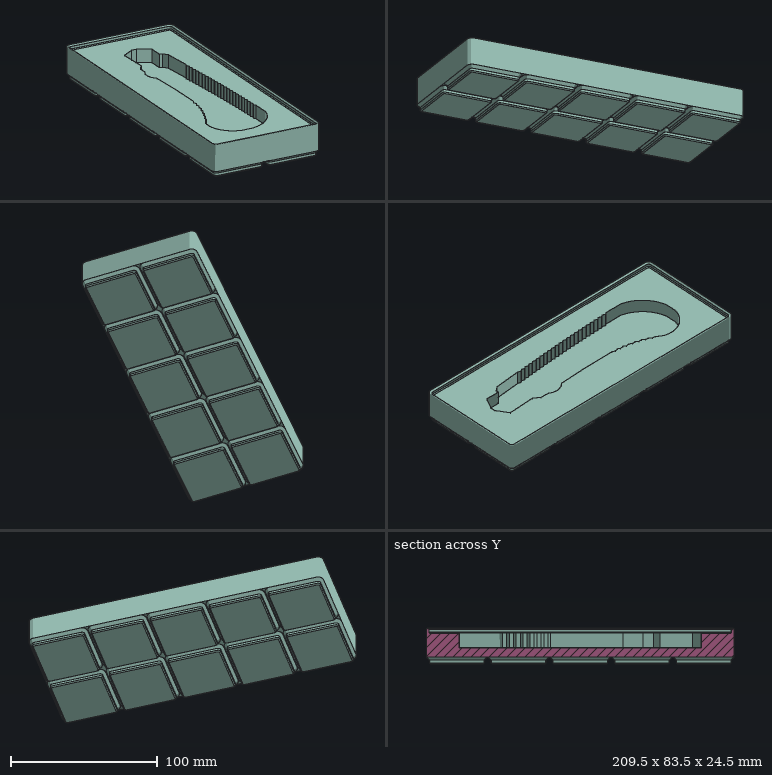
import cadquery as cq
import math

length = 209.5
total_height = 24.5
columns = 5
rows = 2
side_clearance = 0.5
pitch = (length + side_clearance) / columns
width = rows * pitch - side_clearance
corner_radius = 4.0
floor_height = 21.0

foot_low_flare = 0.8
foot_band = 1.8
foot_high_flare = 2.0
foot_bottom_radius = corner_radius - foot_low_flare - foot_high_flare
foot_height = foot_low_flare + foot_band + foot_high_flare
foot_bottom_side = pitch - side_clearance - 2 * (foot_low_flare + foot_high_flare)
flare_angle = -45

lip_low_step = 0.7
lip_high_step = 1.9
lip_base_thickness = lip_low_step + lip_high_step
lip_rim_radius = 0.6

pocket_depth = 9.8
tooth_depth = 1.0
tooth_root_share = 0.6
back_teeth_start = (-42.0, 17.8)
back_teeth_end = (46.7, 23.3)
back_bulge = 0.8
back_teeth = 23
belly_teeth_start = (53.0, -18.9)
belly_teeth_end = (20.1, -10.5)
belly_bulge = 1.9
belly_teeth = 7


def make_block():
    """Solid block from the top of the feet up to the deck."""
    block = cq.Workplane("XY", origin=(0, 0, foot_height))
    block = block.box(length, width, floor_height - foot_height, centered=(True, True, False))
    return block.edges("|Z").fillet(corner_radius)


def make_foot():
    """One foot, standing on Z = 0 and centred on the Z axis."""
    low = (
        cq.Workplane("XY")
        .sketch()
        .rect(foot_bottom_side, foot_bottom_side)
        .vertices()
        .fillet(foot_bottom_radius)
        .finalize()
        .extrude(foot_low_flare, taper=flare_angle)
    )
    band = low.faces(">Z").wires().toPending().workplane().extrude(foot_band)
    return band.faces(">Z").wires().toPending().workplane().extrude(foot_high_flare, taper=flare_angle)


def make_feet():
    """The grid of feet, whose tops line up with the outside of the block."""
    foot = make_foot()
    feet = []
    for column in range(columns):
        for row in range(rows):
            x = (column - (columns - 1) / 2) * pitch
            y = (row - (rows - 1) / 2) * pitch
            feet.append(foot.translate((x, y, 0)))
    return feet


def make_lip():
    """Stacking lip: its cross-section swept once around the outside of the block."""
    half_x = length / 2
    half_y = width / 2
    flat_x = half_x - corner_radius
    flat_y = half_y - corner_radius
    path = (
        cq.Workplane("XY", origin=(0, 0, floor_height))
        .moveTo(0, -half_y)
        .lineTo(flat_x, -half_y)
        .radiusArc((half_x, -flat_y), -corner_radius)
        .lineTo(half_x, flat_y)
        .radiusArc((flat_x, half_y), -corner_radius)
        .lineTo(-flat_x, half_y)
        .radiusArc((-half_x, flat_y), -corner_radius)
        .lineTo(-half_x, -flat_y)
        .radiusArc((-flat_x, -half_y), -corner_radius)
        .close()
    )
    lip_height = total_height - floor_height
    arc_centre_z = lip_height - lip_rim_radius
    slope_offset = lip_rim_radius * math.sqrt(0.5)
    slope_top = (lip_rim_radius + slope_offset, arc_centre_z + slope_offset)
    band_top_z = slope_top[1] - (lip_high_step - slope_top[0])
    profile = (
        cq.Workplane("YZ", origin=(0, -half_y, floor_height))
        .lineTo(0, arc_centre_z)
        .threePointArc((lip_rim_radius, lip_height), slope_top)
        .lineTo(lip_high_step, band_top_z)
        .lineTo(lip_high_step, lip_low_step)
        .lineTo(lip_base_thickness, 0)
        .close()
    )
    return profile.sweep(path)


def toothed_run(outline, start, end, bulge, teeth):
    """Continue the outline from start to end along a shallow arc-like run of saw teeth.

    The tips follow a parabola bulging toward +Y by bulge; each tooth cuts tooth_depth below it.
    """

    def on_run(share):
        x = start[0] + share * (end[0] - start[0])
        y = start[1] + share * (end[1] - start[1])
        return x, y + 4 * bulge * share * (1 - share)

    for tooth in range(teeth):
        root_x, root_y = on_run((tooth + tooth_root_share) / teeth)
        outline = outline.lineTo(root_x, root_y - tooth_depth)
        outline = outline.lineTo(*on_run((tooth + 1) / teeth))
    return outline


def make_pocket():
    """Knife-shaped pocket, nose toward -X and round butt toward +X."""
    outline = (
        cq.Workplane("XY", origin=(0, 0, floor_height - pocket_depth))
        .moveTo(-82.3, -1.9)
        .lineTo(-82.3, 1.9)
        .lineTo(-77.5, 11.0)
        .lineTo(-66.6, 11.0)
        .lineTo(-66.6, 13.2)
        .lineTo(-63.0, 16.0)
        .lineTo(*back_teeth_start)
    )
    outline = toothed_run(outline, back_teeth_start, back_teeth_end, back_bulge, back_teeth)
    outline = (
        outline
        .lineTo(60.5, 23.3)
        .threePointArc((75.0, 14.9), (82.3, 1.0))
        .lineTo(82.3, -7.5)
        .threePointArc((76.0, -18.5), (63.0, -23.0))
        .threePointArc((57.6, -22.0), belly_teeth_start)
    )
    outline = toothed_run(outline, belly_teeth_start, belly_teeth_end, belly_bulge, belly_teeth)
    outline = (
        outline
        .lineTo(-5.9, -10.7)
        .lineTo(-29.1, -11.7)
        .threePointArc((-36.0, -15.3), (-42.7, -13.5))
        .lineTo(-49.9, -13.2)
        .lineTo(-54.3, -9.8)
        .lineTo(-76.5, -10.9)
        .close()
    )
    return outline.extrude(pocket_depth)


result = make_block().union(make_lip())
for foot in make_feet():
    result = result.union(foot)
result = result.cut(make_pocket())